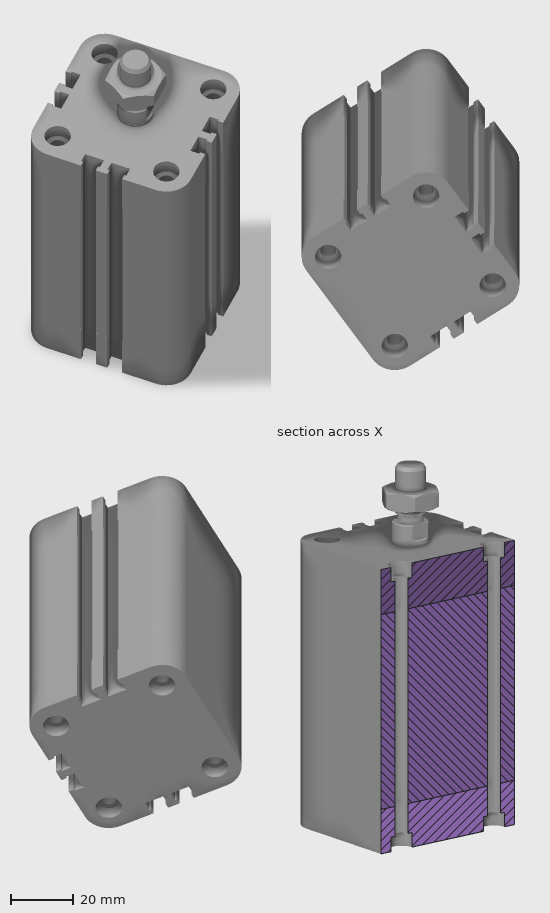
import cadquery as cq
import math

WIDTH = 55.0
CAP_HEIGHT = 15.0
TUBE_HEIGHT = 65.0
TOP_CAP_Z = CAP_HEIGHT + TUBE_HEIGHT
BODY_HEIGHT = TOP_CAP_Z + CAP_HEIGHT

SCREW_OFFSET = 19.0
CORNER_RADIUS = WIDTH / 2 - SCREW_OFFSET
SCREW_DIAMETER = 5.1
COUNTERBORE_DIAMETER = 8.5
COUNTERBORE_DEPTH = 4.8

SLOT_CENTER = 4.6
SLOT_WIDTH = 6.5
SLOT_DEPTH = 5.0
MOUTH_WIDTH = 5.2
LIP_THICKNESS = 1.8
TUBE_MOUTH_CHAMFER = 0.4
SLOT_FACE_ANGLES = (0, 90, -90)

TOTAL_HEIGHT = 121.0
ROD_DIAMETER = 12.0
ROD_NECK_DIAMETER = 11.9
COLLAR_HEIGHT = 0.7
SHOULDER_Z = 102.0
SHOULDER_CHAMFER = 0.2
RELIEF_DIAMETER = 8.5
RELIEF_LENGTH = 2.9
THREAD_DIAMETER = 10.0
THREAD_CHAMFER_LENGTH = 1.3
FLAT_SPACING = 10.0
FLAT_BOTTOM_Z = 97.0
FLAT_RUNOUT = 0.5

NUT_ACROSS_FLATS = 17.1
NUT_HEIGHT = 6.0
NUT_TOP_GAP = 8.0
NUT_FACE_DIAMETER = 17.0
NUT_CHAMFER_ANGLE = 30
HEX_SIDES = 6
HEX_HALF_ANGLE = 180 / HEX_SIDES


def prism_pair(section, base_z, height):
    """Upright prisms at the two slot places of the -Y face, from points (along, into) the face."""
    pair = cq.Workplane("XY")
    for x in (-SLOT_CENTER, SLOT_CENTER):
        plane = cq.Workplane("XY", origin=(x, -WIDTH / 2, base_z))
        pair = pair.union(plane.polyline(section).close().extrude(height))
    return pair


def slot_pair(base_z, height):
    """Two T-slots that open at the -Y face."""
    half_mouth = MOUTH_WIDTH / 2
    half_slot = SLOT_WIDTH / 2
    section = [
        (-half_mouth, 0),
        (-half_mouth, LIP_THICKNESS),
        (-half_slot, LIP_THICKNESS),
        (-half_slot, SLOT_DEPTH),
        (half_slot, SLOT_DEPTH),
        (half_slot, LIP_THICKNESS),
        (half_mouth, LIP_THICKNESS),
        (half_mouth, 0),
    ]
    return prism_pair(section, base_z, height)


def mouth_flare_pair(base_z, height):
    """Two tapered prisms that chamfer the slot mouths in the -Y face."""
    half_mouth = MOUTH_WIDTH / 2
    half_flare = half_mouth + TUBE_MOUTH_CHAMFER
    section = [
        (-half_flare, 0),
        (-half_mouth, TUBE_MOUTH_CHAMFER),
        (half_mouth, TUBE_MOUTH_CHAMFER),
        (half_flare, 0),
    ]
    return prism_pair(section, base_z, height)


def cut_slotted_faces(block, cutter):
    """Cut the -Y cutter into each of the three slotted faces."""
    for angle in SLOT_FACE_ANGLES:
        block = block.cut(cutter.rotate((0, 0, 0), (0, 0, 1), angle))
    return block


def screw_cylinders(base_z, height, diameter):
    """Four cylinders on the screw axes."""
    return (
        cq.Workplane("XY", origin=(0, 0, base_z))
        .rect(2 * SCREW_OFFSET, 2 * SCREW_OFFSET, forConstruction=True)
        .vertices()
        .circle(diameter / 2)
        .extrude(height)
    )


def profile_block(base_z, height):
    """Rounded square block with the T-slots and the four screw holes through it."""
    block = (
        cq.Workplane("XY", origin=(0, 0, base_z))
        .rect(WIDTH, WIDTH)
        .extrude(height)
        .edges("|Z")
        .fillet(CORNER_RADIUS)
    )
    block = cut_slotted_faces(block, slot_pair(base_z, height))
    return block.cut(screw_cylinders(base_z, height, SCREW_DIAMETER))


def make_bottom_cap():
    """Lower end cap, counterbored from below like the upper one from above."""
    counterbores = screw_cylinders(0, COUNTERBORE_DEPTH, COUNTERBORE_DIAMETER)
    return profile_block(0, CAP_HEIGHT).cut(counterbores)


def make_tube():
    """Profile tube between the caps, with chamfered slot mouths."""
    flares = mouth_flare_pair(CAP_HEIGHT, TUBE_HEIGHT)
    return cut_slotted_faces(profile_block(CAP_HEIGHT, TUBE_HEIGHT), flares)


def make_top_cap():
    """Upper end cap with the bore that carries the rod."""
    counterbores = screw_cylinders(
        BODY_HEIGHT - COUNTERBORE_DEPTH, COUNTERBORE_DEPTH, COUNTERBORE_DIAMETER
    )
    rod_bore = (
        cq.Workplane("XY", origin=(0, 0, TOP_CAP_Z)).circle(ROD_DIAMETER / 2).extrude(CAP_HEIGHT)
    )
    return profile_block(TOP_CAP_Z, CAP_HEIGHT).cut(counterbores).cut(rod_bore)


def make_rod():
    """Rod through the top cap with wrench flats, a thread relief and a plain thread."""
    collar_z = BODY_HEIGHT + COLLAR_HEIGHT
    neck_radius = ROD_NECK_DIAMETER / 2
    relief_top_z = SHOULDER_Z + RELIEF_LENGTH
    rod = (
        cq.Workplane("XZ")
        .moveTo(0, TOP_CAP_Z)
        .lineTo(ROD_DIAMETER / 2, TOP_CAP_Z)
        .lineTo(ROD_DIAMETER / 2, collar_z)
        .lineTo(neck_radius, collar_z)
        .lineTo(neck_radius, SHOULDER_Z - SHOULDER_CHAMFER)
        .lineTo(neck_radius - SHOULDER_CHAMFER, SHOULDER_Z)
        .lineTo(RELIEF_DIAMETER / 2, SHOULDER_Z)
        .lineTo(RELIEF_DIAMETER / 2, relief_top_z)
        .lineTo(THREAD_DIAMETER / 2, relief_top_z)
        .lineTo(THREAD_DIAMETER / 2, TOTAL_HEIGHT - THREAD_CHAMFER_LENGTH)
        .lineTo(RELIEF_DIAMETER / 2, TOTAL_HEIGHT)
        .lineTo(0, TOTAL_HEIGHT)
        .close()
        .revolve(360, (0, 0, 0), (0, 1, 0))
    )
    half_flat = FLAT_SPACING / 2
    for side in (-1, 1):
        flat = (
            cq.Workplane("XZ")
            .moveTo(side * half_flat, SHOULDER_Z)
            .lineTo(side * half_flat, FLAT_BOTTOM_Z)
            .lineTo(side * ROD_DIAMETER / 2, FLAT_BOTTOM_Z - FLAT_RUNOUT)
            .lineTo(side * ROD_DIAMETER / 2, SHOULDER_Z)
            .close()
            .extrude(ROD_DIAMETER / 2, both=True)
        )
        rod = rod.cut(flat)
    return rod


def make_nut():
    """Hexagon nut with two flats facing -X and +X, chamfered at both ends."""
    top_z = TOTAL_HEIGHT - NUT_TOP_GAP
    base_z = top_z - NUT_HEIGHT
    corner_diameter = NUT_ACROSS_FLATS / math.cos(math.radians(HEX_HALF_ANGLE))
    drop = (corner_diameter - NUT_FACE_DIAMETER) / 2 * math.tan(math.radians(NUT_CHAMFER_ANGLE))
    hexagon = (
        cq.Workplane("XY", origin=(0, 0, base_z))
        .polygon(HEX_SIDES, corner_diameter)
        .extrude(NUT_HEIGHT)
        .rotate((0, 0, 0), (0, 0, 1), HEX_HALF_ANGLE)
    )
    envelope = (
        cq.Workplane("XZ")
        .moveTo(0, base_z)
        .lineTo(NUT_FACE_DIAMETER / 2, base_z)
        .lineTo(corner_diameter / 2, base_z + drop)
        .lineTo(corner_diameter / 2, top_z - drop)
        .lineTo(NUT_FACE_DIAMETER / 2, top_z)
        .lineTo(0, top_z)
        .close()
        .revolve(360, (0, 0, 0), (0, 1, 0))
    )
    hole = cq.Workplane("XY", origin=(0, 0, base_z)).circle(THREAD_DIAMETER / 2).extrude(NUT_HEIGHT)
    return hexagon.intersect(envelope).cut(hole)


bottom_cap = make_bottom_cap()
tube = make_tube()
top_cap = make_top_cap()
rod = make_rod()
nut = make_nut()

bodies = (bottom_cap, tube, top_cap, rod, nut)
result = cq.Compound.makeCompound([body.solids().val() for body in bodies])